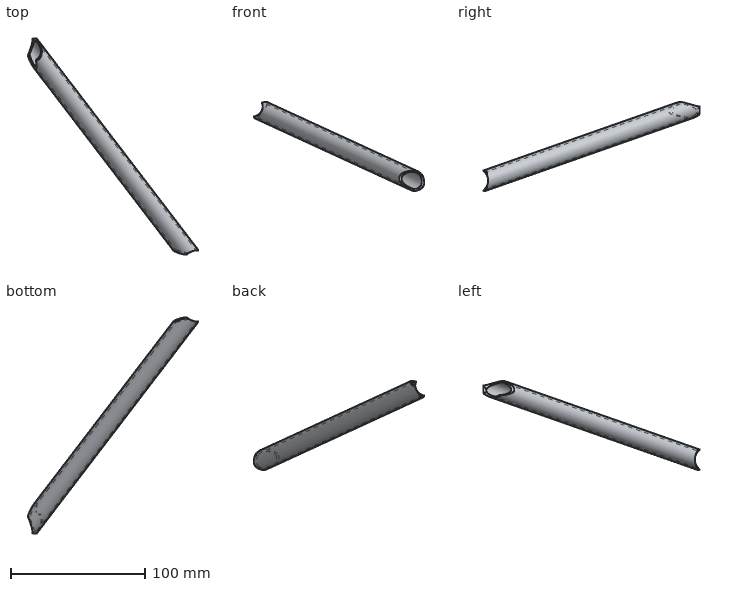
import cadquery as cq
tube_radius = 7.5
wall = 1.5
tube_middle = cq.Vector(-4.805, 0, 2.6)
tube_direction = cq.Vector(0.7638, -1, -0.3512).normalized()
blank_half_length = 120

member_half_length = 60
post_radius = 12.5
x_axis = cq.Vector(1, 0, 0)
y_axis = cq.Vector(0, 1, 0)
z_axis = cq.Vector(0, 0, 1)

rear_rail_radius = tube_radius
rear_rail_point = cq.Vector(-64.45, 79, 29.95)
rear_post_point = cq.Vector(-68.21, 74.65, 32.3)
rear_post_direction = cq.Vector(0.576, -0.225, 0.81)

front_rail_radius = 9.75
front_rail_point = cq.Vector(60, -86.895, -25.36)
front_post_point = cq.Vector(63.02, -90.09, -27)


def rod(radius, point, direction, half_length):
    """Solid cylinder reaching half_length both ways from a point on its axis."""
    unit = direction.normalized()
    return cq.Solid.makeCylinder(radius, 2 * half_length, point - unit * half_length, unit)


def brace_blank():
    """Straight, uncut tube."""
    outside = rod(tube_radius, tube_middle, tube_direction, blank_half_length)
    bore = rod(tube_radius - wall, tube_middle, tube_direction, blank_half_length)
    return outside.cut(bore)


def notching_members():
    """The four members whose surfaces shape the tube ends."""
    members = [
        (rear_rail_radius, rear_rail_point, y_axis),
        (post_radius, rear_post_point, rear_post_direction),
        (front_rail_radius, front_rail_point, x_axis),
        (post_radius, front_post_point, z_axis),
    ]
    return [rod(radius, point, direction, member_half_length) for radius, point, direction in members]


def centre_piece(shape):
    """The piece between the notches, without the offcuts beyond them."""
    return max(shape.Solids(), key=lambda piece: piece.Volume())


result = cq.Workplane(centre_piece(brace_blank().cut(*notching_members())))